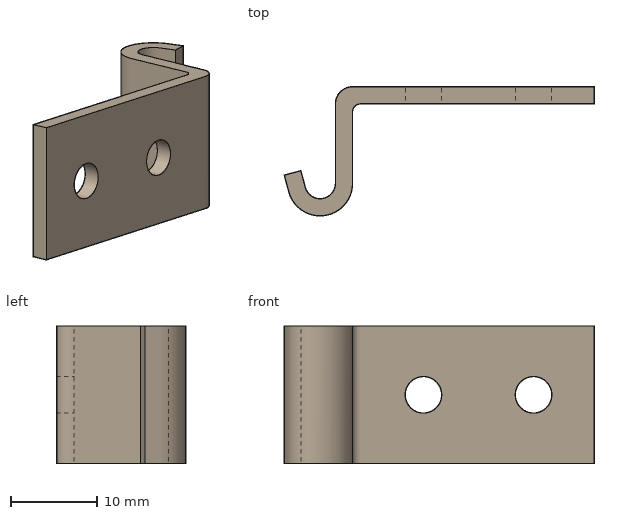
import cadquery as cq
import math

length = 36.0
depth = 15.0
height = 16.0
thickness = 2.0

bend_outer_radius = 2.0
bend_inner_radius = 0.9

hook_outer_radius = 3.78
hook_inner_radius = hook_outer_radius - thickness
lip_angle = math.radians(15)
lip_length = 2.0

hole_diameter = 4.2
hole_edge_distance = 7.05
hole_spacing = 12.78

hook_x = hook_outer_radius * math.cos(lip_angle) + lip_length * math.sin(lip_angle)
hook_y = hook_outer_radius
web_inner_x = hook_x + hook_inner_radius
web_outer_x = hook_x + hook_outer_radius
plate_front_y = depth - thickness


def hook_point(radius, angle):
    """Point on a circle around the hook centre."""
    return (hook_x + radius * math.cos(angle), hook_y + radius * math.sin(angle))


def lip_tip(arc_end):
    """Move from the end of a hook arc along the straight lip."""
    return (
        arc_end[0] - lip_length * math.sin(lip_angle),
        arc_end[1] + lip_length * math.cos(lip_angle),
    )


def bend_midpoint(corner_x, corner_y, radius):
    """Middle of the arc that rounds the upper-left corner of an outline."""
    inset = radius * (1 - math.sqrt(0.5))
    return (corner_x + inset, corner_y - inset)


arc_end_angle = -math.pi + lip_angle
arc_mid_angle = arc_end_angle / 2
outer_arc_end = hook_point(hook_outer_radius, arc_end_angle)
inner_arc_end = hook_point(hook_inner_radius, arc_end_angle)

profile = (
    cq.Workplane("XY")
    .moveTo(length, depth)
    .lineTo(web_inner_x + bend_outer_radius, depth)
    .threePointArc(
        bend_midpoint(web_inner_x, depth, bend_outer_radius),
        (web_inner_x, depth - bend_outer_radius),
    )
    .lineTo(web_inner_x, hook_y)
    .threePointArc(hook_point(hook_inner_radius, arc_mid_angle), inner_arc_end)
    .lineTo(*lip_tip(inner_arc_end))
    .lineTo(*lip_tip(outer_arc_end))
    .lineTo(*outer_arc_end)
    .threePointArc(hook_point(hook_outer_radius, arc_mid_angle), (web_outer_x, hook_y))
    .lineTo(web_outer_x, plate_front_y - bend_inner_radius)
    .threePointArc(
        bend_midpoint(web_outer_x, plate_front_y, bend_inner_radius),
        (web_outer_x + bend_inner_radius, plate_front_y),
    )
    .lineTo(length, plate_front_y)
    .close()
)
bracket = profile.extrude(height)

for index in range(2):
    hole_x = length - hole_edge_distance - index * hole_spacing
    hole = (
        cq.Workplane("XZ", origin=(hole_x, depth, height / 2))
        .circle(hole_diameter / 2)
        .extrude(thickness)
    )
    bracket = bracket.cut(hole)

result = bracket